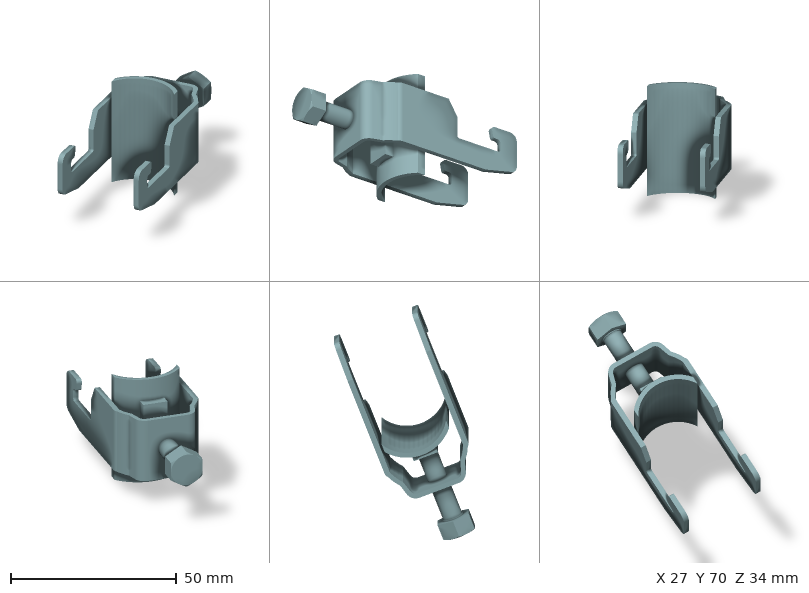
import cadquery as cq
import math


overall_length = 70.0

bracket_width = 27.0
bracket_height = 20.0
back_thickness = 1.5
arm_thickness = 1.7
arm_end_y = -53.05
bend_radius = 3.35
inner_bend_radius = 1.9

throat_y = -31.0
throat_top_z = 4.8
shoulder_cut_y = -27.85
notch_floor_z = -2.4
notch_end_y = -47.05
hook_under_z = 1.8
hook_top_z = 5.7
hook_tip_top_y = -43.6
hook_tip_under_y = -44.4
taper_start_y = -41.6
taper_end_z = -7.35
throat_radius = 0.8
notch_floor_radius = 1.0
notch_roof_radius = 1.2
tip_under_radius = 0.7
tip_top_radius = 1.05
nose_top_radius = 2.5
nose_bottom_radius = 2.4

shank_diameter = 6.1
collar_diameter = 6.7
collar_length = 0.35
head_across_flats = 10.1
head_height = 5.4
bolt_end_y = -11.2
bolt_length = overall_length + arm_end_y - bolt_end_y
shank_length = bolt_length - head_height
shank_end_chamfer = 0.3
head_crown_angle = 30

saddle_height = 34.0
saddle_width = 20.85
saddle_outer_radius = 13.5
saddle_thickness = 1.5
saddle_top_y = -13.7
pad_width = 7.8
pad_height = bracket_height


def rod(diameter, start_y, length):
    """Solid cylinder on the Y axis, from start_y toward +Y."""
    plane = cq.Workplane("XZ", origin=(0, start_y, 0))
    return plane.circle(diameter / 2).extrude(-length)


def round_corner(body, axis, first, second, radius):
    """Fillet the edges parallel to an axis that pass through one profile corner on either side."""
    reach = 0.035
    span = bracket_width
    if axis == "X":
        low = (-span, first - reach, second - reach)
        high = (span, first + reach, second + reach)
    else:
        low = (first - reach, second - reach, -span)
        high = (first + reach, second + reach, span)
    selector = cq.selectors.BoxSelector(low, high)
    return body.edges("|" + axis).edges(selector).fillet(radius)


def bent_strip():
    """Symmetrical U-shaped strip with a narrowed back and two straight arms."""
    outer_x = bracket_width / 2
    inner_x = outer_x - arm_thickness
    back_corner = (8.9, 0)
    inner_back_corner = (7.8, -back_thickness)
    right_half = (
        cq.Workplane("XY")
        .lineTo(*back_corner)
        .lineTo(10.35, -5.25)
        .threePointArc((10.5, -5.7), (10.8, -6.0))
        .threePointArc((12.0, -7.6), (12.95, -9.5))
        .threePointArc((13.4, -10.15), (outer_x, -10.8))
        .lineTo(outer_x, arm_end_y)
        .lineTo(inner_x, arm_end_y)
        .lineTo(inner_x, -10.4)
        .threePointArc((10.7, -8.25), (9.25, -6.3))
        .lineTo(*inner_back_corner)
        .lineTo(0, -back_thickness)
        .close()
        .extrude(bracket_height / 2, both=True)
    )
    right_half = round_corner(right_half, "Z", *back_corner, bend_radius)
    right_half = round_corner(right_half, "Z", *inner_back_corner, inner_bend_radius)
    return right_half.union(right_half.mirror("YZ"))


def arm_side_profile():
    """Side outline of the bracket, extruded across its full width."""
    half_height = bracket_height / 2
    corners = [
        (0, -half_height, 0),
        (0, half_height, 0),
        (shoulder_cut_y, half_height, 0),
        (throat_y, throat_top_z, 0),
        (throat_y, notch_floor_z, throat_radius),
        (notch_end_y, notch_floor_z, notch_floor_radius),
        (notch_end_y, hook_under_z, notch_roof_radius),
        (hook_tip_under_y, hook_under_z, tip_under_radius),
        (hook_tip_top_y, hook_top_z, tip_top_radius),
        (arm_end_y, hook_top_z, nose_top_radius),
        (arm_end_y, taper_end_z, nose_bottom_radius),
        (taper_start_y, -half_height, 0),
    ]
    outline = cq.Workplane("YZ").polyline([(y, z) for y, z, _ in corners]).close()
    profile = outline.extrude(bracket_width / 2, both=True)
    for y, z, radius in corners:
        if radius > 0:
            profile = round_corner(profile, "X", y, z, radius)
    return profile


def make_bracket():
    bolt_hole = rod(shank_diameter, -2 * back_thickness, 3 * back_thickness)
    return bent_strip().intersect(arm_side_profile()).cut(bolt_hole)


def make_bolt():
    """Hexagon-head bolt with two flats facing +X and -X."""
    head_base_y = bolt_end_y + shank_length
    shank = rod(shank_diameter, bolt_end_y, shank_length).faces("<Y").chamfer(shank_end_chamfer)
    collar = rod(collar_diameter, head_base_y - collar_length, collar_length)

    across_corners = head_across_flats / math.cos(math.radians(30))
    head_plane = cq.Workplane("XZ", origin=(0, head_base_y, 0)).transformed(rotate=(0, 0, 90))
    head = head_plane.polygon(6, across_corners).extrude(-head_height)

    crown_width = (across_corners - head_across_flats) / 2
    crown_depth = crown_width * math.tan(math.radians(head_crown_angle))
    blank = rod(across_corners, head_base_y, head_height).faces(">Y").chamfer(crown_depth, crown_width)
    return shank.union(collar).union(head.intersect(blank))


def make_saddle():
    """Curved clamping plate with the bolt's bearing pad on its crown."""
    center_y = saddle_top_y - saddle_outer_radius
    center = cq.Workplane("XY").center(0, center_y)
    cylinder = center.circle(saddle_outer_radius).extrude(saddle_height / 2, both=True)
    bore = center.circle(saddle_outer_radius - saddle_thickness).extrude(saddle_height / 2, both=True)
    strip = (
        center.rect(saddle_width, saddle_outer_radius, centered=(True, False))
        .extrude(saddle_height / 2, both=True)
    )
    pad_length = bolt_end_y - center_y
    pad = cq.Workplane("XY").box(pad_width, pad_length, pad_height)
    pad = pad.translate((0, center_y + pad_length / 2, 0))
    return cylinder.intersect(strip).union(pad).cut(bore)


bracket = make_bracket()
bolt = make_bolt()
saddle = make_saddle()
result = cq.Compound.makeCompound([bracket.val(), bolt.val(), saddle.val()])